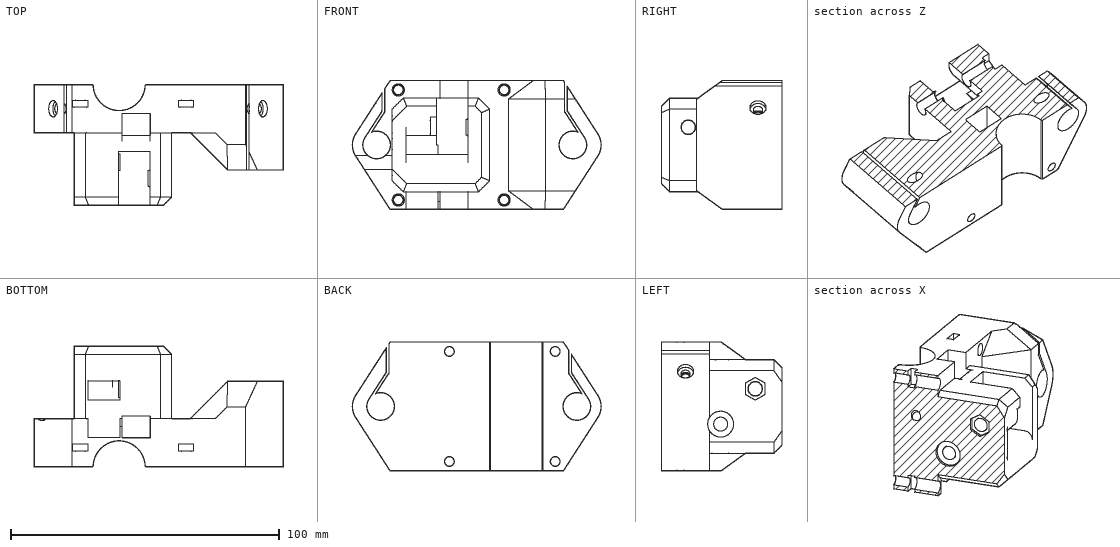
import cadquery as cq
import math


length = 92.7
height = 48.0
plate_depth = 18.0
tip_radius = 7.4
flank_run = 15.5
part_depth = 45.0

rod_dia = 10.2
left_rod_x = -37.3
right_rod_x = 35.8
clamp_gap = 0.9
left_gap_x = -35.2
right_gap_x = 33.65
left_screw_z = 13.1
right_screw_z = 13.9
screw_y = -9.0
screw_dia = 3.5
screw_head_dia = 6.0
screw_head_depth = 1.9
screw_length = 13.0

mount_x = (-29.2, 10.2)
mount_z = 20.5
mount_dia = 3.5
mount_bore_dia = 4.5
nut_width = 5.7
nut_thickness = 2.6
nut_slot_back = -5.8
nut_slot_depth = 6.3

relief_x = -14.7
relief_radius = 9.6
relief_bevel = 0.4

tower_depth = 31.9
tower_foot_x = 11.8
tower_bevel_z = 6.95
tower_front_bevel = 9.6
tower_side_bevel = 6.6

housing_left = -31.5
housing_right = 4.8
housing_height = 34.95
housing_corner = 4.2
housing_rim = 3.1

throat_half = 3.5
lip_radius = 3.1
channel_back = -24.9
upper_left = -14.9
upper_right = -3.2
lower_left = -26.4
lower_right = -14.5
pocket_left = -17.2
pocket_top = 10.5
pocket_back = -26.0

slot_left = -13.6
slot_right = upper_right
slot_back = -10.8
slot_front = -18.9
slot_round = 2.0
rib_bevel = 3.0

axle_dia = 5.2
axle_y = -22.1
axle_z = -6.6
bearing_dia = 9.6
pivot_y = -34.95
pivot_z = 6.6
hex_flats = 7.3
socket_depth = 3.2
boss_height = 0.8
boss_dia = 5.75

half_length = length / 2
half_height = height / 2
half_housing = housing_height / 2
flank_rise = half_height / flank_run
flank_tilt = math.atan(1 / flank_rise)
normal_x = math.cos(flank_tilt)
normal_z = math.sin(flank_tilt)
corner_x = half_length + tip_radius * (1 / normal_x - 1)
flat_half = corner_x - flank_run
turn_radius = 2 * throat_half
turn_y = channel_back - turn_radius
lip_y = -part_depth + lip_radius
lip_z = throat_half + lip_radius
diagonal = math.sqrt(0.5)


def box(x0, x1, y0, y1, z0, z1):
    """Box between two corners."""
    return cq.Workplane("XY").box(x1 - x0, y1 - y0, z1 - z0, centered=False).translate((x0, y0, z0))


def bore_x(diameter, x0, x1, y, z):
    """Cylinder along X."""
    return cq.Workplane("YZ", origin=(x0, y, z)).circle(diameter / 2).extrude(x1 - x0)


def bore_y(diameter, y0, y1, x, z):
    """Cylinder along Y."""
    return cq.Workplane("XZ", origin=(x, y1, z)).circle(diameter / 2).extrude(y1 - y0)


def along_x(profile, x0, x1):
    """Extrude a closed (Y, Z) sketch, drawn on the YZ plane, from x0 to x1."""
    return profile.extrude(x1 - x0).translate((x0, 0, 0))


def hexagon(depth):
    """Plate outline, rounded at both tips, from the back face forward."""
    outline = [
        (-corner_x, 0),
        (-flat_half, half_height),
        (flat_half, half_height),
        (corner_x, 0),
        (flat_half, -half_height),
        (-flat_half, -half_height),
    ]
    body = cq.Workplane("XZ").polyline(outline).close().extrude(depth)
    return body.edges("|Y").edges("<X or >X").fillet(tip_radius)


def tower():
    """Right-hand tower with a 45 degree side and bevelled top and bottom."""
    rise = tower_depth - plate_depth
    plan = (
        cq.Workplane("XY", origin=(0, 0, -half_height))
        .moveTo(tower_foot_x, -plate_depth)
        .lineTo(tower_foot_x + rise, -tower_depth)
        .lineTo(half_length, -tower_depth)
        .lineTo(half_length, -plate_depth)
        .close()
        .extrude(height)
    )

    def bevelled_bar(plane, run, reach, half_extent):
        """Bar whose outer face (at local x = 0) carries the top and bottom bevels."""
        low = half_height - tower_bevel_z
        outline = [
            (0, low),
            (run, half_height),
            (reach, half_height),
            (reach, -half_height),
            (run, -half_height),
            (0, -low),
        ]
        return cq.Workplane(plane).polyline(outline).close().extrude(half_extent, both=True)

    front_plane = cq.Plane(origin=(0, -tower_depth, 0), xDir=(0, 1, 0), normal=(1, 0, 0))
    side_plane = cq.Plane(origin=(tower_foot_x, -plate_depth, 0), xDir=(1, 1, 0), normal=(1, -1, 0))
    body = plan.intersect(bevelled_bar(front_plane, tower_front_bevel, tower_depth, length))
    body = body.intersect(bevelled_bar(side_plane, tower_side_bevel, length, length))
    return body.intersect(hexagon(tower_depth))


def housing():
    """Gear housing; its front rim is bevelled except along the left side."""
    body = box(housing_left, housing_right, -part_depth, -plate_depth, -half_housing, half_housing)
    body = body.edges("|Y").chamfer(housing_corner)
    return body.faces("<Y").edges("not(<X)").chamfer(housing_rim)


def rod_clamp(side, rod_x, gap_x, screw_z):
    """Rod bore, the gap that splits it from the flank, and the clamp screw hole.

    side is +1 for the right end and -1 for the left end.
    """
    cut = bore_y(rod_dia, -part_depth, 0, rod_x, 0)

    wall_x = abs(rod_x) + rod_dia / 2 / normal_x
    gap_width_x = clamp_gap / normal_x
    bend_z = (wall_x - abs(gap_x)) * flank_rise
    inner_x = abs(gap_x) - clamp_gap
    inner_bend_z = (wall_x - gap_width_x - inner_x) * flank_rise
    tangent_x = abs(rod_x) + rod_dia / 2 * normal_x
    tangent_z = rod_dia / 2 * normal_z
    outline = [
        (abs(gap_x), half_height),
        (abs(gap_x), bend_z),
        (tangent_x, tangent_z),
        (tangent_x - gap_width_x, tangent_z),
        (inner_x, inner_bend_z),
        (inner_x, half_height),
    ]
    outline = [(side * x, z) for x, z in outline]
    cut = cut.union(cq.Workplane("XZ").polyline(outline).close().extrude(part_depth))

    entry = cq.Vector(side * (corner_x - screw_z / flank_rise), screw_y, screw_z)
    inward = cq.Vector(-side * normal_x, 0, -normal_z)
    for diameter, depth in ((screw_head_dia, screw_head_depth), (screw_dia, screw_length)):
        start = entry - inward * screw_head_dia
        hole = cq.Solid.makeCylinder(diameter / 2, depth + screw_head_dia, start, inward)
        cut = cut.union(cq.Workplane(hole))
    return cut


def mounting_holes():
    """Stepped holes along Y, each with a nut slot open to the nearest long edge."""
    slot_front_y = nut_slot_back - nut_thickness
    cut = cq.Workplane()
    for x in mount_x:
        for z in (mount_z, -mount_z):
            edge_z = math.copysign(half_height, z)
            inner_z = math.copysign(half_height - nut_slot_depth, z)
            nut = box(
                x - nut_width / 2, x + nut_width / 2,
                slot_front_y, nut_slot_back,
                min(edge_z, inner_z), max(edge_z, inner_z),
            )
            cut = cut.add(bore_y(mount_dia, -plate_depth, 0, x, z))
            cut = cut.add(bore_y(mount_bore_dia, -plate_depth, slot_front_y, x, z))
            cut = cut.add(nut)
    return cut.combine()


def back_relief():
    """Half-round groove across the full height of the back face, with bevelled mouth edges."""
    base = cq.Workplane("XY", origin=(relief_x, 0, -half_height))
    mouth = [
        (-relief_radius - relief_bevel, 0),
        (-relief_radius, -relief_bevel),
        (relief_radius, -relief_bevel),
        (relief_radius + relief_bevel, 0),
    ]
    groove = base.circle(relief_radius).extrude(height)
    return groove.union(base.polyline(mouth).close().extrude(height))


def plate_slots():
    """Upright slot behind the housing and the notch in the lower plate edge."""
    slot = box(slot_left, slot_right, slot_front, slot_back, -half_height, half_height)

    round_y = slot_front - slot_round
    round_z = half_housing - slot_round
    lead_in = box(slot_left, slot_right, round_y, slot_front, round_z, half_housing)
    lead_in = lead_in.cut(bore_x(2 * slot_round, slot_left, slot_right, round_y, round_z))

    notch = box(lower_left, lower_right, -plate_depth, slot_back, -half_height, -half_housing)

    bevel = (
        cq.Workplane("YZ")
        .moveTo(-plate_depth, -half_height)
        .lineTo(-plate_depth, -half_height + rib_bevel)
        .lineTo(-plate_depth + rib_bevel, -half_height)
        .close()
    )
    return slot.union(lead_in).union(notch).union(along_x(bevel, lower_right, slot_left))


def channel(up):
    """(Y, Z) profile of an L-shaped channel from the front to the top (up = 1) or bottom (up = -1)."""
    turn_mid = (turn_y + turn_radius * diagonal, up * (throat_half - turn_radius * diagonal))
    lip_mid = (lip_y - lip_radius * diagonal, -up * (lip_z - lip_radius * diagonal))
    return (
        cq.Workplane("YZ")
        .moveTo(channel_back, up * half_housing)
        .lineTo(channel_back, up * throat_half)
        .threePointArc(turn_mid, (turn_y, -up * throat_half))
        .lineTo(lip_y, -up * throat_half)
        .threePointArc(lip_mid, (-part_depth, -up * lip_z))
    )


def pivot_boss():
    """Low boss around the pivot bore, flaring into the right wall of the upper channel."""
    radius = boss_dia / 2
    curve = boss_height * (1 - diagonal)
    return (
        cq.Workplane("XY")
        .lineTo(0, radius + boss_height)
        .threePointArc((-curve, radius + curve), (-boss_height, radius))
        .lineTo(-boss_height, 0)
        .close()
        .revolve(360, (0, 0, 0), (1, 0, 0))
        .translate((upper_right, pivot_y, pivot_z))
    )


def upper_channel():
    """Channel open to the front and the top, with a pocket on its left side."""
    profile = channel(1).lineTo(-part_depth, half_housing).close()
    pocket = box(pocket_left, upper_left, -part_depth, pocket_back, throat_half, pocket_top)
    return along_x(profile, upper_left, upper_right).cut(pivot_boss()).union(pocket)


def lower_channel():
    """Channel from the front window down through the bottom of the housing."""
    lip_mid = (lip_y - lip_radius * diagonal, -lip_z + lip_radius * diagonal)
    profile = (
        channel(-1)
        .lineTo(-part_depth, -lip_z)
        .threePointArc(lip_mid, (lip_y, -throat_half))
        .lineTo(turn_y, -throat_half)
        .lineTo(turn_y, -half_housing)
        .close()
    )
    return along_x(profile, lower_left, lower_right)


def cross_bores():
    """Axle bore with a bearing seat, and pivot bore with a hexagonal nut seat."""
    seat_end = housing_left + socket_depth
    hexagon_seat = (
        cq.Workplane("YZ", origin=(housing_left, pivot_y, pivot_z))
        .polygon(6, hex_flats, circumscribed=True)
        .extrude(socket_depth)
    )
    return (
        bore_x(bearing_dia, -half_length, seat_end, axle_y, axle_z)
        .union(bore_x(axle_dia, seat_end, housing_right, axle_y, axle_z))
        .union(bore_x(axle_dia, housing_left, housing_right, pivot_y, pivot_z))
        .union(hexagon_seat)
    )


result = hexagon(plate_depth).union(tower()).union(housing())
for feature in (
    rod_clamp(-1, left_rod_x, left_gap_x, left_screw_z),
    rod_clamp(1, right_rod_x, right_gap_x, right_screw_z),
    mounting_holes(),
    back_relief(),
    plate_slots(),
    upper_channel(),
    lower_channel(),
    cross_bores(),
):
    result = result.cut(feature)